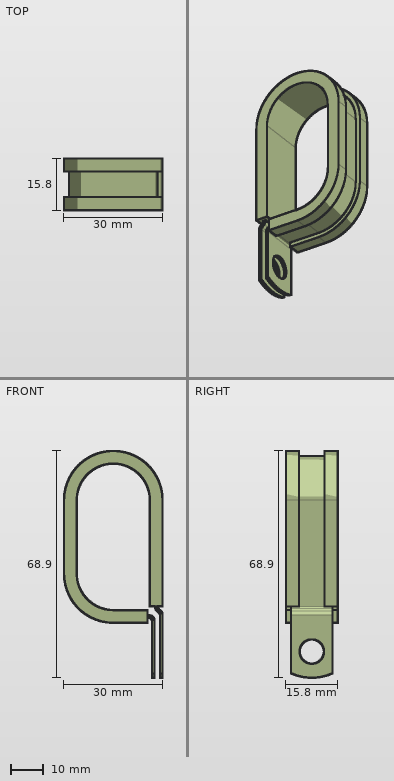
import cadquery as cq
import math

outer_radius = 14.98
wall = 3.9
straight_length = 22.25
cushion_width = 15.8
long_leg_length = 32.15
short_leg_end = 10.4
loop_bottom = -straight_length - outer_radius

groove_depth = 1.5
groove_width = 7.65
strap_thickness = 0.8
strap_width = 12.7
bend_radius = 0.8
outer_bend_radius = bend_radius + strap_thickness

tab_bottom = outer_radius - 68.9
tab_gap = 1.65
tab_end_sag = 1.4
hole_diameter = 7.3
hole_height = 8.0
jog_start = 0.5

right_tab_inner = outer_radius - strap_thickness
left_tab_outer = right_tab_inner - tab_gap
left_tab_inner = left_tab_outer - strap_thickness


def extrude_centred(profile, width):
    """Extrude an XZ profile equally to both sides of the Y midplane."""
    return profile.extrude(width / 2, both=True)


def loop_band(outer_inset, inner_inset, width):
    """Open loop between two insets from the cushion's outer surface."""
    outer = outer_radius - outer_inset
    inner = outer_radius - inner_inset
    bend_z = -straight_length
    diagonal = math.sqrt(0.5)
    profile = (
        cq.Workplane("XZ")
        .moveTo(outer, -long_leg_length)
        .lineTo(outer, 0)
        .threePointArc((0, outer), (-outer, 0))
        .lineTo(-outer, bend_z)
        .threePointArc((-outer * diagonal, bend_z - outer * diagonal), (0, bend_z - outer))
        .lineTo(short_leg_end, bend_z - outer)
        .lineTo(short_leg_end, bend_z - inner)
        .lineTo(0, bend_z - inner)
        .threePointArc((-inner * diagonal, bend_z - inner * diagonal), (-inner, bend_z))
        .lineTo(-inner, 0)
        .threePointArc((0, inner), (inner, 0))
        .lineTo(inner, -long_leg_length)
        .close()
    )
    return extrude_centred(profile, width)


def short_leg_tab():
    """Strap leaving the short leg along X, then bent straight down."""
    strap_bottom = loop_bottom + groove_depth
    strap_top = strap_bottom + strap_thickness
    bend_x = left_tab_inner - bend_radius
    bend_z = strap_bottom - bend_radius
    profile = (
        cq.Workplane("XZ")
        .moveTo(short_leg_end, strap_top)
        .lineTo(bend_x, strap_top)
        .radiusArc((left_tab_outer, bend_z), outer_bend_radius)
        .lineTo(left_tab_outer, tab_bottom)
        .lineTo(left_tab_inner, tab_bottom)
        .lineTo(left_tab_inner, bend_z)
        .radiusArc((bend_x, strap_bottom), -bend_radius)
        .lineTo(short_leg_end, strap_bottom)
        .close()
    )
    return extrude_centred(profile, strap_width)


def long_leg_tab():
    """Strap leaving the long leg, jogged outward at 45 degrees."""
    strap_outer = outer_radius - groove_depth
    strap_inner = strap_outer - strap_thickness
    jog_top = -long_leg_length - jog_start
    jog_bottom = jog_top - groove_depth
    mitre = strap_thickness * math.tan(math.radians(22.5))
    profile = (
        cq.Workplane("XZ")
        .moveTo(strap_outer, -long_leg_length)
        .lineTo(strap_outer, jog_top)
        .lineTo(outer_radius, jog_bottom)
        .lineTo(outer_radius, tab_bottom)
        .lineTo(right_tab_inner, tab_bottom)
        .lineTo(right_tab_inner, jog_bottom - mitre)
        .lineTo(strap_inner, jog_top - mitre)
        .lineTo(strap_inner, -long_leg_length)
        .close()
    )
    tab = extrude_centred(profile, strap_width)
    bends = [
        (strap_outer, jog_top, bend_radius),
        (outer_radius, jog_bottom, outer_bend_radius),
        (right_tab_inner, jog_bottom - mitre, bend_radius),
        (strap_inner, jog_top - mitre, outer_bend_radius),
    ]
    for x, z, radius in bends:
        corner = cq.NearestToPointSelector((x, 0, z))
        tab = tab.edges("|Y").edges(corner).fillet(radius)
    return tab


def tab_envelope():
    """Strap outline in YZ with its rounded end and bolt hole."""
    half_width = strap_width / 2
    corner_z = tab_bottom + tab_end_sag
    outline = (
        cq.Workplane("YZ")
        .moveTo(-half_width, -straight_length)
        .lineTo(-half_width, corner_z)
        .threePointArc((0, tab_bottom), (half_width, corner_z))
        .lineTo(half_width, -straight_length)
        .close()
        .extrude(outer_radius)
    )
    hole = (
        cq.Workplane("YZ")
        .center(0, tab_bottom + hole_height)
        .circle(hole_diameter / 2)
        .extrude(outer_radius)
    )
    return outline.cut(hole)


cushion = loop_band(0, wall, cushion_width).cut(loop_band(0, groove_depth, groove_width))
tabs = short_leg_tab().union(long_leg_tab()).intersect(tab_envelope())
result = cushion.union(tabs)